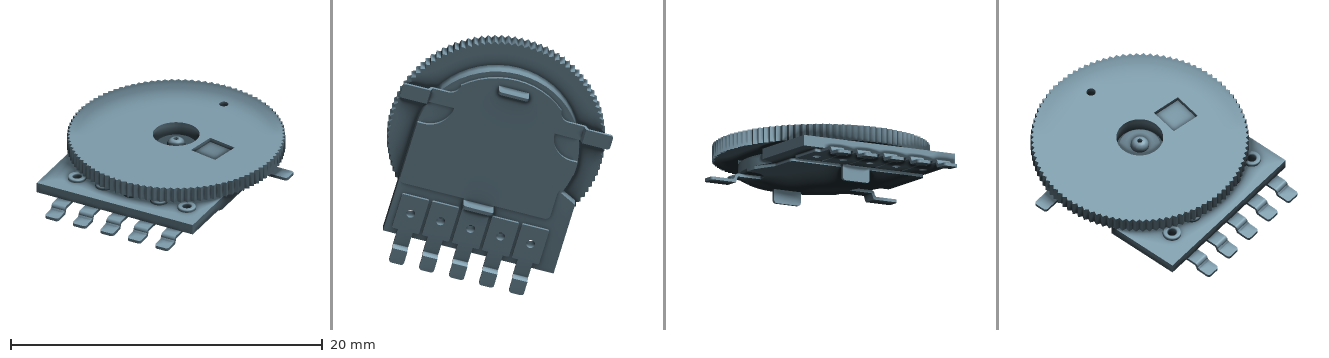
import cadquery as cq
import math


COS_45 = math.sqrt(0.5)

OVERALL_LENGTH = 16.5

BASE_HEIGHT = 0.7
WHEEL_GAP = 0.3
WHEEL_HEIGHT = 1.0
SHEET = 0.2
FOOT_DEPTH = 3 * SHEET
PRONG_DEPTH = 1.1
WHEEL_BOTTOM = BASE_HEIGHT + WHEEL_GAP
WHEEL_TOP = WHEEL_BOTTOM + WHEEL_HEIGHT

WHEEL_RADIUS = 7.0
TOOTH_COUNT = 100
TOOTH_DEPTH = 0.2
BORE_RADIUS = 1.5
INDEX_ANGLE = -10.5
POCKET_SIDE = 2.0
POCKET_DISTANCE = 3.0
POCKET_DEPTH = 0.3
INDEX_HOLE_RADIUS = 0.3
INDEX_HOLE_DISTANCE = 4.88

HUB_RADIUS = 1.32
HUB_DROP = 0.81
PIN_RADIUS = 0.6
PIN_HOLE_RADIUS = 0.16
PIN_HOLE_DEPTH = 0.4
PIN_DROP = 0.33
HUB_TOP = WHEEL_TOP - HUB_DROP
PIN_TOP = WHEEL_TOP - PIN_DROP

DISC_RADIUS = 5.35
BLOCK_LEFT = -6.0
BLOCK_FRONT = -7.72
BLOCK_REAR = -2.64
SHOULDER_Y = -2.08
LEDGE_Y = 2.48

STRIP_WIDTH = 0.99
BEND_RADIUS = 0.25
BEND_TO_HEEL = 0.36
HEEL_OFFSET = 0.18
CORNER_RADIUS = 0.2

TERMINAL_COUNT = 5
TERMINAL_PITCH = 2.0
TERMINAL_END = OVERALL_LENGTH - WHEEL_RADIUS * math.cos(math.pi / TOOTH_COUNT)
TERMINAL_BEND = 8.33
TERMINAL_FOOT_DROP = 0.05
PAD_WIDTH = 1.8
PAD_REAR = -4.78
PAD_FRONT = -7.28
PAD_CORNER = 0.1
EYELET_Y = -6.0
EYELET_RADIUS = 0.6
EYELET_HEIGHT = 0.2
EYELET_ROUND = 0.1
EYELET_HOLE_RADIUS = 0.28
BARREL_RADIUS = 0.43

FRAME_REAR_RADIUS = 4.97
FRAME_FRONT = -4.03
FRAME_CORNER = 0.33
WAIST_X = 3.35
TAB_Y = 2.49
TAB_BEND = 5.0
REAR_RELIEF = 0.66
FRONT_RELIEF = 1.6
TAIL_SLANT_REAR = -0.53
TAIL_SLANT_FRONT = -2.05
TAIL_LEFT = -4.67
PRONG_WIDTH = 2.0
PRONG_BEND = 0.18
PRONG_INNER = 4.12


def cylinder(radius, bottom, top, x=0.0, y=0.0):
    return cq.Workplane("XY", origin=(x, y, bottom)).circle(radius).extrude(top - bottom)


def bent_strip(start, bend, end, foot_drop):
    """Strip along +X that steps down from z = 0 to a foot with rounded end corners."""
    foot_top = SHEET - FOOT_DEPTH
    inner_radius = BEND_RADIUS - SHEET
    strip = (
        cq.Workplane("XZ")
        .moveTo(start, 0)
        .lineTo(bend, 0)
        .threePointArc(
            (bend + BEND_RADIUS * COS_45, BEND_RADIUS * (COS_45 - 1)),
            (bend + BEND_RADIUS, -BEND_RADIUS),
        )
        .lineTo(bend + BEND_TO_HEEL, foot_top + foot_drop)
        .lineTo(end, foot_top)
        .lineTo(end, -FOOT_DEPTH)
        .lineTo(bend + HEEL_OFFSET, foot_drop - FOOT_DEPTH)
        .lineTo(bend + inner_radius, -BEND_RADIUS)
        .threePointArc(
            (bend + inner_radius * COS_45, inner_radius * COS_45 - BEND_RADIUS),
            (bend, -SHEET),
        )
        .lineTo(start, -SHEET)
        .close()
        .extrude(STRIP_WIDTH / 2, both=True)
    )
    return strip.faces(">X").edges("|Z").fillet(CORNER_RADIUS)


def make_wheel():
    step = math.pi / TOOTH_COUNT
    outline = []
    for i in range(2 * TOOTH_COUNT):
        is_tip = i % 2 == 1
        radius = WHEEL_RADIUS if is_tip else WHEEL_RADIUS - TOOTH_DEPTH
        outline.append((radius * math.cos(i * step), radius * math.sin(i * step)))
    wheel = cq.Workplane("XY").polyline(outline).close().extrude(WHEEL_HEIGHT)
    wheel = wheel.translate((0, 0, WHEEL_BOTTOM))
    wheel = wheel.cut(cylinder(BORE_RADIUS, WHEEL_BOTTOM, WHEEL_TOP))
    pocket = cq.Workplane("XY").box(POCKET_SIDE, POCKET_SIDE, POCKET_DEPTH, centered=(True, True, False))
    pocket = pocket.translate((POCKET_DISTANCE, 0, WHEEL_TOP - POCKET_DEPTH))
    index_hole = cylinder(INDEX_HOLE_RADIUS, WHEEL_BOTTOM, WHEEL_TOP, y=INDEX_HOLE_DISTANCE)
    for marking in (pocket, index_hole):
        wheel = wheel.cut(marking.rotate((0, 0, 0), (0, 0, 1), INDEX_ANGLE))
    return wheel


def make_hub():
    hub = cylinder(HUB_RADIUS, BASE_HEIGHT, HUB_TOP)
    return hub.cut(cylinder(PIN_RADIUS, BASE_HEIGHT, HUB_TOP))


def make_pin():
    """Pin whose rounded head runs out at the rim of a blind hole."""
    pin = cylinder(PIN_RADIUS, 0, PIN_TOP)
    pin = pin.cut(cylinder(PIN_HOLE_RADIUS, PIN_TOP - PIN_HOLE_DEPTH, PIN_TOP))
    head_round = PIN_RADIUS - PIN_HOLE_RADIUS
    crown = (
        cq.Workplane("XZ")
        .moveTo(PIN_RADIUS, PIN_TOP - head_round)
        .radiusArc((PIN_HOLE_RADIUS, PIN_TOP), -head_round)
        .lineTo(PIN_RADIUS, PIN_TOP)
        .close()
        .revolve(360, (0, 0, 0), (0, 1, 0))
    )
    return pin.cut(crown)


def terminal_positions():
    middle = (TERMINAL_COUNT - 1) / 2
    return [(i - middle) * TERMINAL_PITCH for i in range(TERMINAL_COUNT)]


def make_base():
    shoulder_x = math.sqrt(DISC_RADIUS**2 - SHOULDER_Y**2)
    base = (
        cq.Workplane("XY")
        .moveTo(BLOCK_LEFT, BLOCK_FRONT)
        .lineTo(DISC_RADIUS, BLOCK_FRONT)
        .lineTo(DISC_RADIUS, 0)
        .threePointArc((0, DISC_RADIUS), (-shoulder_x, SHOULDER_Y))
        .lineTo(BLOCK_LEFT, BLOCK_REAR)
        .close()
        .extrude(BASE_HEIGHT)
    )
    ledge_x = math.sqrt(DISC_RADIUS**2 - LEDGE_Y**2)
    raised_rear = (
        cq.Workplane("XY")
        .moveTo(ledge_x, LEDGE_Y)
        .threePointArc((0, DISC_RADIUS), (-ledge_x, LEDGE_Y))
        .close()
        .extrude(WHEEL_BOTTOM)
    )
    base = base.union(raised_rear).cut(cylinder(PIN_RADIUS, 0, BASE_HEIGHT))
    for x in terminal_positions():
        base = base.cut(cylinder(BARREL_RADIUS, 0, BASE_HEIGHT, x, EYELET_Y))
    return base


def make_terminal(x):
    """Contact pad with a bent leg, riveted through the base by a hollow eyelet."""
    pad = (
        cq.Workplane("XY", origin=(0, (PAD_REAR + PAD_FRONT) / 2, -SHEET))
        .rect(PAD_WIDTH, PAD_REAR - PAD_FRONT)
        .extrude(SHEET)
        .edges("|Z")
        .fillet(PAD_CORNER)
    )
    leg = bent_strip(-EYELET_Y, TERMINAL_BEND, TERMINAL_END, TERMINAL_FOOT_DROP)
    leg = leg.rotate((0, 0, 0), (0, 0, 1), -90)
    barrel = cylinder(BARREL_RADIUS, -SHEET, BASE_HEIGHT, y=EYELET_Y)
    flange_top = BASE_HEIGHT + EYELET_HEIGHT
    flange = cylinder(EYELET_RADIUS, BASE_HEIGHT, flange_top, y=EYELET_Y)
    bore = cylinder(EYELET_HOLE_RADIUS, -SHEET, flange_top, y=EYELET_Y)
    terminal = pad.union(leg).union(barrel).union(flange).cut(bore)
    terminal = terminal.faces(">Z").edges().fillet(EYELET_ROUND)
    return terminal.translate((x, 0, 0))


def make_prong(near_y):
    """Vertical prong with rounded lower corners whose -Y face lies at near_y."""
    prong = cq.Workplane("XY").box(PRONG_WIDTH, SHEET, PRONG_DEPTH, centered=(True, False, False))
    prong = prong.translate((0, near_y, -PRONG_DEPTH))
    return prong.faces("<Z").edges("|Y").fillet(CORNER_RADIUS)


def make_frame():
    """Sheet under the base with two foot tabs, two prongs and an asymmetric front edge."""
    tab_front = TAB_Y - STRIP_WIDTH / 2
    tab_rear = TAB_Y + STRIP_WIDTH / 2
    arm_y = tab_front - FRONT_RELIEF
    rear_y = math.sqrt(FRAME_REAR_RADIUS**2 - WAIST_X**2)
    slant_x = math.sqrt(DISC_RADIUS**2 - TAIL_SLANT_REAR**2)
    relief_x = WAIST_X + FRONT_RELIEF
    arm_x = math.sqrt(DISC_RADIUS**2 - arm_y**2)
    arc_x = relief_x - FRONT_RELIEF * COS_45
    arc_y = tab_front - FRONT_RELIEF * COS_45
    plate = (
        cq.Workplane("XY", origin=(0, 0, -SHEET))
        .moveTo(TAIL_LEFT, FRAME_FRONT)
        .lineTo(DISC_RADIUS, FRAME_FRONT)
        .lineTo(DISC_RADIUS, 0)
        .lineTo(arm_x, arm_y)
        .lineTo(relief_x, arm_y)
        .threePointArc((arc_x, arc_y), (WAIST_X, tab_front))
        .lineTo(WAIST_X, rear_y)
        .threePointArc((0, FRAME_REAR_RADIUS), (-WAIST_X, rear_y))
        .lineTo(-WAIST_X, tab_front)
        .threePointArc((-arc_x, arc_y), (-relief_x, arm_y))
        .lineTo(-arm_x, arm_y)
        .threePointArc((-DISC_RADIUS, 0), (-slant_x, TAIL_SLANT_REAR))
        .lineTo(TAIL_LEFT, TAIL_SLANT_FRONT)
        .close()
        .extrude(SHEET)
    )
    frame = plate.faces("<Y").edges("|Z").fillet(FRAME_CORNER)
    tab = bent_strip(WAIST_X, TAB_BEND, WHEEL_RADIUS, 0)
    web = (
        cq.Workplane("XY", origin=(WAIST_X, tab_rear, -SHEET))
        .lineTo(REAR_RELIEF, 0)
        .radiusArc((0, REAR_RELIEF), REAR_RELIEF)
        .close()
        .extrude(SHEET)
    )
    arm = tab.translate((0, TAB_Y, 0)).union(web)
    frame = frame.union(arm).union(arm.mirror("YZ"))

    tongue_length = PRONG_INNER + SHEET + FRAME_FRONT
    tongue = cq.Workplane("XY").box(PRONG_WIDTH, tongue_length, SHEET, centered=(True, False, False))
    tongue = tongue.translate((0, FRAME_FRONT - tongue_length, -SHEET))
    front_prong = make_prong(-PRONG_INNER - SHEET).union(tongue)
    front_prong = front_prong.faces("<Y").edges(">Z").fillet(PRONG_BEND)
    return frame.union(front_prong).union(make_prong(PRONG_INNER))


wheel = make_wheel()
hub = make_hub()
pin = make_pin()
base = make_base()
frame = make_frame()
terminals = [make_terminal(x) for x in terminal_positions()]

result = cq.Compound.makeCompound(
    [
        wheel.val(),
        hub.val(),
        pin.val(),
        base.val(),
        frame.val(),
        *[terminal.val() for terminal in terminals],
    ]
)